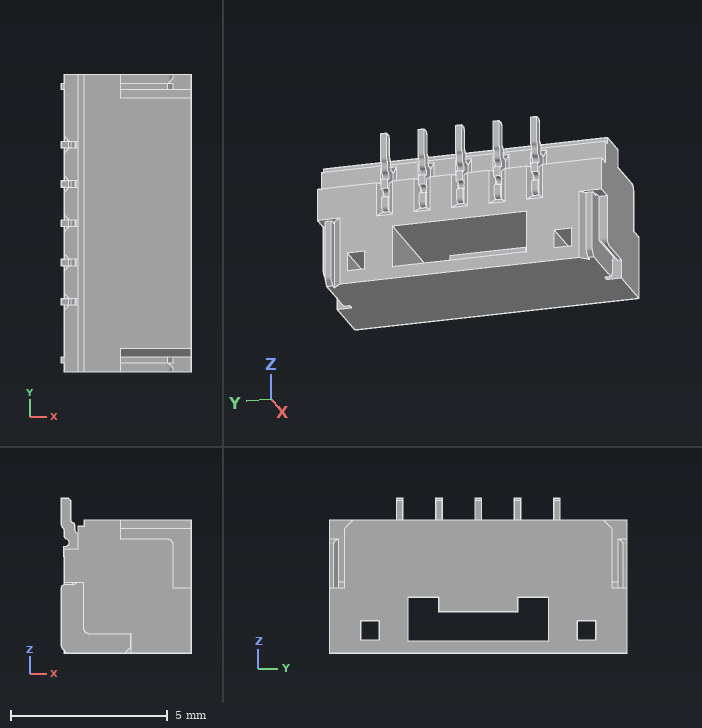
import cadquery as cq
import math


length = 9.5
depth = 4.06
height = 4.26
half_length = length / 2
shelf_depth = 0.44
shelf_height = 3.325
ledge_depth = 0.64
ledge_height = 4.06

pin_count = 5
pin_pitch = 1.25
pin_thickness = 0.21
pin_lead_in = 0.16
pin_slot_bottom = 2.19
pin_slot_top = 3.97

pin_tip_height = 4.95
pin_tip_chamfer = 0.08
pin_tip_front = -0.095
pin_tip_back = 0.21
pin_neck_front = 0.0
pin_neck_back = 0.34
pin_waist_front = -0.03
pin_foot_front = 0.04
front_bend_top = 4.11
front_bend_bottom = 3.9
front_bend_radius = 0.13
back_bend_top = 4.275
back_bend_bottom = 4.08
back_bend_radius = 0.1
shoulder_height = 3.85
shoulder_start = 0.38
shoulder_rise = 0.09
upper_notch_height = 3.53
upper_notch_radius = 0.12
upper_notch_center = 0.03
upper_notch_lead = 3.79
lower_notch_height = 2.98
lower_notch_radius = 0.11
pin_foot_round = 0.11
pin_heel_round = 0.16

skin = 0.285
plate_thickness = 0.2
plate_depth = skin + plate_thickness
wide_bevel = 0.27
skin_bevel = 0.16
corner_radius = 0.2

notch_start = 1.8
wing_end = 3.48
wing_height = 3.65
notch_floor = 2.09
gap_bevel = 0.18

recess_leg = 0.62
recess_height = 2.26
recess_length = 2.14
bracket_front = -0.095
bracket_height = 2.19
bracket_step = 0.32
bracket_length = 2.11
bracket_round = 0.11
bracket_chamfer = 0.18
bracket_bend_radius = 0.14

window_width = 4.48
window_bottom = 0.4
window_top = 1.79
latch_width = 2.53
latch_drop = 0.47
latch_thickness = 1.0
hole_spacing = 6.92
hole_width = 0.58
hole_height = 0.61
hole_bottom = 0.43


def box(x_range, y_range, z_range):
    """Box between the given limits."""
    sizes = [high - low for low, high in (x_range, y_range, z_range)]
    corner = (x_range[0], y_range[0], z_range[0])
    return cq.Workplane("XY").box(*sizes, centered=False).translate(corner)


def side_profile(points, y_start, thickness):
    """Closed outline in X and Z, extruded toward +Y."""
    plane = cq.Workplane("XZ", origin=(0, y_start, 0))
    return plane.polyline(points).close().extrude(-thickness)


def housing_block():
    outline = [
        (0, 0),
        (depth, 0),
        (depth, height),
        (ledge_depth, height),
        (ledge_depth, ledge_height),
        (shelf_depth, ledge_height),
        (shelf_depth, shelf_height),
        (0, shelf_height),
    ]
    return side_profile(outline, -half_length, length)


def corner_notch():
    """Material removed around the wing at the -Y end."""
    y_end = -half_length
    above = box((notch_start, depth), (y_end, y_end + plate_depth), (wing_height, height))
    behind = box((wing_end, depth), (y_end, y_end + plate_depth), (notch_floor, height))

    corner = box(
        (wing_end - corner_radius, wing_end),
        (y_end, y_end + skin),
        (wing_height - corner_radius, wing_height),
    )
    rounding = (
        cq.Workplane("XZ", origin=(wing_end - corner_radius, y_end, wing_height - corner_radius))
        .circle(corner_radius)
        .extrude(-skin)
    )

    gap_floor = notch_floor + gap_bevel
    gap_outline = [
        (notch_start, wing_height),
        (notch_start, gap_floor),
        (wing_end - gap_bevel, gap_floor),
        (wing_end, notch_floor),
        (wing_end, wing_height),
    ]
    gap = side_profile(gap_outline, y_end + skin, plate_thickness)
    flare = (
        cq.Workplane("XY", origin=(0, 0, notch_floor))
        .moveTo(wing_end - skin_bevel, y_end + skin)
        .lineTo(wing_end, y_end + skin)
        .lineTo(wing_end, y_end + skin - skin_bevel)
        .close()
        .extrude(wing_height - notch_floor)
    )

    wall = y_end + plate_depth
    bevel = (
        cq.Workplane("YZ", origin=(notch_start, 0, 0))
        .moveTo(wall, height)
        .lineTo(wall + wide_bevel, height)
        .lineTo(wall, height - wide_bevel)
        .close()
        .extrude(depth - notch_start)
    )
    return above.union(behind).union(corner.cut(rounding)).union(gap).union(flare).union(bevel)


def bracket_recess():
    """L-shaped recess at the -Y end, with its flared edges."""
    y_end = -half_length
    upright = box((0, recess_leg), (y_end, y_end + plate_depth), (0, recess_height))
    foot = box((0, recess_length), (y_end, y_end + plate_depth), (0, recess_leg))
    recess = upright.union(foot)
    corner_point = (recess_leg, y_end + plate_depth / 2, recess_leg)
    inner_corner = cq.selectors.NearestToPointSelector(corner_point)
    recess = recess.edges("|Y").edges(inner_corner).fillet(corner_radius)

    front_flare = (
        cq.Workplane("XY")
        .moveTo(0, y_end + plate_depth)
        .lineTo(0, y_end + plate_depth + wide_bevel)
        .lineTo(wide_bevel, y_end + plate_depth)
        .close()
        .extrude(recess_height)
    )
    skin_flare = (
        cq.Workplane("YZ", origin=(recess_leg, 0, 0))
        .moveTo(y_end + skin, recess_leg)
        .lineTo(y_end + skin, recess_leg + skin_bevel)
        .lineTo(y_end + skin - skin_bevel, recess_leg)
        .close()
        .extrude(recess_length - recess_leg)
    )
    return recess.union(front_flare).union(skin_flare)


def bracket():
    """Mounting bracket that fills the recess at the -Y end up to the outer skin."""
    inset = recess_leg + corner_radius

    bend_inset = bracket_bend_radius * (1 - math.cos(math.radians(45)))
    bend_bottom = bracket_chamfer - bend_inset
    bend_top = bend_bottom + bracket_bend_radius * math.sin(math.radians(45))

    outline = (
        cq.Workplane("XZ", origin=(0, skin - half_length, 0))
        .moveTo(bracket_front + bracket_chamfer, 0)
        .lineTo(bracket_length - bracket_chamfer, 0)
        .lineTo(bracket_length, bracket_chamfer)
        .lineTo(bracket_length, recess_leg)
        .lineTo(inset, recess_leg)
        .radiusArc((recess_leg, inset), corner_radius)
        .lineTo(recess_leg, recess_height)
        .lineTo(bracket_step + recess_height - bracket_height, recess_height)
        .lineTo(bracket_step, bracket_height)
        .lineTo(bracket_front + bracket_round, bracket_height)
        .radiusArc((bracket_front, bracket_height - bracket_round), -bracket_round)
        .lineTo(bracket_front, bend_top)
        .radiusArc((bracket_front + bend_inset, bend_bottom), -bracket_bend_radius)
        .close()
    )
    return outline.extrude(-plate_thickness)


def flared_pocket(x_face, z_low, z_high):
    """Pocket in a face at x_face whose four walls close in at 45 degrees."""
    mouth_width = pin_thickness + 2 * pin_lead_in
    mouth_height = z_high - z_low
    return (
        cq.Workplane("YZ", origin=(x_face, 0, (z_low + z_high) / 2))
        .rect(mouth_width, mouth_height)
        .workplane(offset=pin_lead_in)
        .rect(pin_thickness, mouth_height - 2 * pin_lead_in)
        .loft(ruled=True)
    )


def pin_slot():
    """Flared slot around one pin, stepped like the housing front."""
    y_range = (-pin_pitch / 2, pin_pitch / 2)
    x_range = (0, shelf_depth + pin_lead_in)
    lower = flared_pocket(0, pin_slot_bottom, pin_slot_top)
    lower = lower.intersect(box(x_range, y_range, (0, shelf_height)))
    upper = flared_pocket(shelf_depth, pin_slot_bottom, pin_slot_top)
    upper = upper.intersect(box(x_range, y_range, (shelf_height, height)))

    straight_depth = pin_foot_front + pin_foot_round + lower_notch_radius
    half_thickness = pin_thickness / 2
    straight = box(
        (0, straight_depth),
        (-half_thickness, half_thickness),
        (pin_slot_bottom + pin_lead_in, shelf_height),
    )
    return lower.union(upper).union(straight)


def pin():
    """One flat pin, bent forward above the shelf and notched along its front edge."""
    root = shelf_depth + pin_lead_in
    front_bend_middle = ((pin_tip_front + pin_neck_front) / 2, (front_bend_top + front_bend_bottom) / 2)
    back_bend_middle = ((pin_tip_back + pin_neck_back) / 2, (back_bend_top + back_bend_bottom) / 2)
    foot_bottom = pin_slot_bottom + pin_lead_in
    foot_top = lower_notch_height - lower_notch_radius
    foot_back = pin_foot_front + pin_foot_round
    waist_bottom = lower_notch_height + lower_notch_radius
    waist_top = upper_notch_height - upper_notch_radius
    notch_bottom = (upper_notch_center, waist_top)
    notch_deepest = (upper_notch_center + upper_notch_radius, upper_notch_height)
    notch_top = (
        upper_notch_center + upper_notch_radius * math.sin(math.radians(30)),
        upper_notch_height + upper_notch_radius * math.cos(math.radians(30)),
    )
    outline = (
        cq.Workplane("XZ", origin=(0, -pin_thickness / 2, 0))
        .moveTo(pin_tip_front, pin_tip_height)
        .lineTo(pin_tip_back - pin_tip_chamfer, pin_tip_height)
        .lineTo(pin_tip_back, pin_tip_height - pin_tip_chamfer)
        .lineTo(pin_tip_back, back_bend_top)
        .radiusArc(back_bend_middle, -back_bend_radius)
        .radiusArc((pin_neck_back, back_bend_bottom), back_bend_radius)
        .lineTo(pin_neck_back, shoulder_height + shoulder_rise)
        .lineTo(shoulder_start, shoulder_height)
        .lineTo(root, shoulder_height)
        .lineTo(root, foot_bottom)
        .lineTo(pin_foot_front + pin_heel_round, foot_bottom)
        .radiusArc((pin_foot_front, foot_bottom + pin_heel_round), pin_heel_round)
        .lineTo(pin_foot_front, foot_top - pin_foot_round)
        .radiusArc((foot_back, foot_top), pin_foot_round)
        .radiusArc((foot_back, waist_bottom), -lower_notch_radius)
        .lineTo(pin_waist_front, waist_bottom)
        .lineTo(pin_waist_front, waist_top)
        .lineTo(*notch_bottom)
        .threePointArc(notch_deepest, notch_top)
        .radiusArc((pin_neck_front, upper_notch_lead), upper_notch_radius)
        .lineTo(pin_neck_front, front_bend_bottom)
        .radiusArc(front_bend_middle, -front_bend_radius)
        .radiusArc((pin_tip_front, front_bend_top), front_bend_radius)
        .close()
    )
    return outline.extrude(-pin_thickness)


def openings():
    """Central window with its latch tab, and the two square holes."""
    half_window = window_width / 2
    half_latch = latch_width / 2
    window = box((0, depth), (-half_window, half_window), (window_bottom, window_top))
    latch = box(
        (depth - latch_thickness, depth),
        (-half_latch, half_latch),
        (window_top - latch_drop, window_top),
    )
    cutter = window.cut(latch)
    for y_center in (-hole_spacing / 2, hole_spacing / 2):
        y_range = (y_center - hole_width / 2, y_center + hole_width / 2)
        cutter = cutter.union(box((0, depth), y_range, (hole_bottom, hole_bottom + hole_height)))
    return cutter


def both_ends(shape):
    """The shape at the -Y end together with its mirror image at the +Y end."""
    return shape.union(shape.mirror("XZ"))


result = housing_block()
result = result.cut(both_ends(corner_notch()))
result = result.cut(both_ends(bracket_recess()))
result = result.cut(openings())
result = result.union(both_ends(bracket()))

for index in range(pin_count):
    y_pin = (index - (pin_count - 1) / 2) * pin_pitch
    result = result.cut(pin_slot().translate((0, y_pin, 0)))
    result = result.union(pin().translate((0, y_pin, 0)))